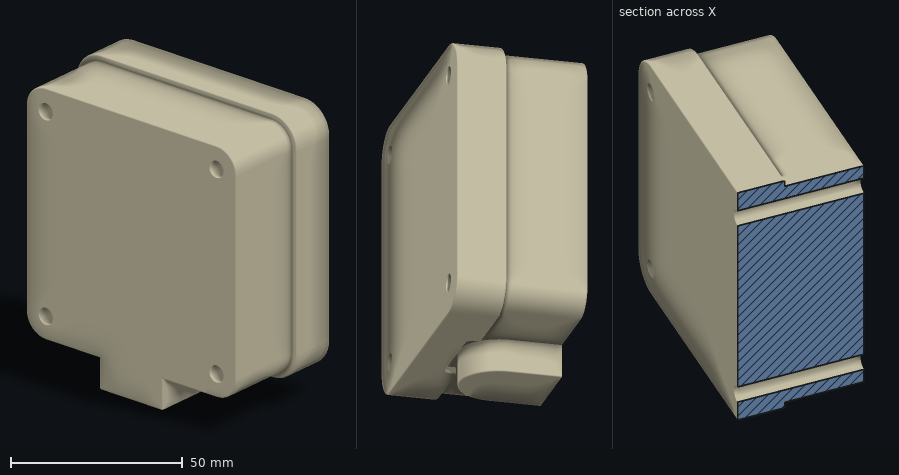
import cadquery as cq

lid_side = 84.0
total_depth = 40.0
total_height = 92.0

lid_depth = 15.0
step = 2.0
body_side = lid_side - 2 * step
lid_corner_radius = 9.5
body_corner_radius = lid_corner_radius - step
edge_radius = 0.5

hole_diameter = 5.4
hole_spacing = lid_side - 2 * lid_corner_radius

tab_width = 24.0
tab_depth = 28.0
tab_bottom = lid_side / 2 - total_height
tab_overlap = 9.2

notch_clearance = 1.0
notch_height = 2 * step
notch_corner_radius = 2.0
notch_mouth_radius = 1.0


def rounded_block(side, corner_radius, front, back):
    """Square block with rounded corners, running along Y from front to back."""
    return (
        cq.Workplane("XZ", origin=(0, front, 0))
        .rect(side, side)
        .extrude(front - back)
        .edges("|Y")
        .fillet(corner_radius)
    )


def make_tab():
    """Upright tab, flush with the body front and round at the rear."""
    half_width = tab_width / 2
    round_start = tab_depth - half_width
    top = tab_overlap - body_side / 2
    return (
        cq.Workplane("XY", origin=(0, 0, tab_bottom))
        .moveTo(-half_width, 0)
        .lineTo(half_width, 0)
        .lineTo(half_width, round_start)
        .threePointArc((0, tab_depth), (-half_width, round_start))
        .close()
        .extrude(top - tab_bottom)
        .edges("<Z or <Y")
        .fillet(edge_radius)
    )


def make_notch(front):
    """Upright cutter with rounded rear corners, open at the bottom and at the lid front."""
    width = tab_width + 2 * notch_clearance
    depth = tab_depth + notch_clearance - front
    return (
        cq.Workplane("XY", origin=(0, front + depth / 2, -lid_side / 2))
        .rect(width, depth)
        .extrude(notch_height)
        .edges("|Z and >Y")
        .fillet(notch_corner_radius)
    )


lid_front = total_depth - lid_depth
lid = rounded_block(lid_side, lid_corner_radius, lid_front, total_depth)
lid = lid.cut(make_notch(lid_front))
lid = lid.faces("<Y").edges("|Z").edges("<Z").fillet(notch_mouth_radius)
lid = lid.faces(">Y").edges().fillet(edge_radius)
lid = lid.faces("<Y").edges(">Z").fillet(edge_radius)
body = rounded_block(body_side, body_corner_radius, 0, total_depth - edge_radius)
body = body.faces("<Y").edges().fillet(edge_radius)
body = body.union(lid).union(make_tab())

holes = (
    cq.Workplane("XZ")
    .rect(hole_spacing, hole_spacing, forConstruction=True)
    .vertices()
    .circle(hole_diameter / 2)
    .extrude(-total_depth)
)
result = body.cut(holes)